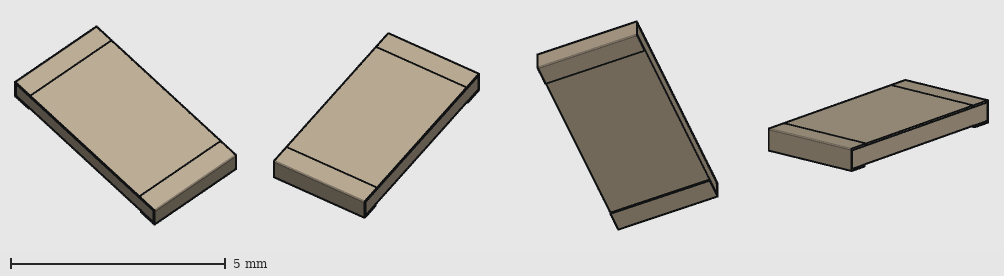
import cadquery as cq

chip_length = 5.0
chip_width = 2.5
chip_height = 0.55

plating = 0.05
terminal_top_length = 0.55
terminal_bottom_length = 0.5
corner_radius = 0.025

substrate_length = chip_length - 2 * plating
substrate_height = chip_height - 2 * plating
substrate_top = plating + substrate_height

coating_length = chip_length - 2 * terminal_top_length


def make_substrate():
    return (
        cq.Workplane("XY")
        .workplane(offset=plating)
        .box(substrate_length, chip_width, substrate_height, centered=(True, True, False))
    )


def make_coating():
    return (
        cq.Workplane("XY")
        .workplane(offset=substrate_top)
        .box(coating_length, chip_width, plating, centered=(True, True, False))
    )


def make_terminal(side):
    """C-shaped end cap; side is -1 for the -X end and +1 for the +X end."""
    outer_x = side * chip_length / 2
    inner_x = side * substrate_length / 2
    top_tip_x = outer_x - side * terminal_top_length
    bottom_tip_x = outer_x - side * terminal_bottom_length
    outer_edges = "<X" if side < 0 else ">X"
    return (
        cq.Workplane("XZ")
        .moveTo(bottom_tip_x, 0)
        .lineTo(outer_x, 0)
        .lineTo(outer_x, chip_height)
        .lineTo(top_tip_x, chip_height)
        .lineTo(top_tip_x, substrate_top)
        .lineTo(inner_x, substrate_top)
        .lineTo(inner_x, plating)
        .lineTo(bottom_tip_x, plating)
        .close()
        .extrude(chip_width / 2, both=True)
        .faces(outer_edges)
        .edges("|Y")
        .fillet(corner_radius)
    )


substrate = make_substrate()
coating = make_coating()
terminals = [make_terminal(side) for side in (-1, 1)]

result = cq.Compound.makeCompound(
    [substrate.val(), coating.val(), *[terminal.val() for terminal in terminals]]
)